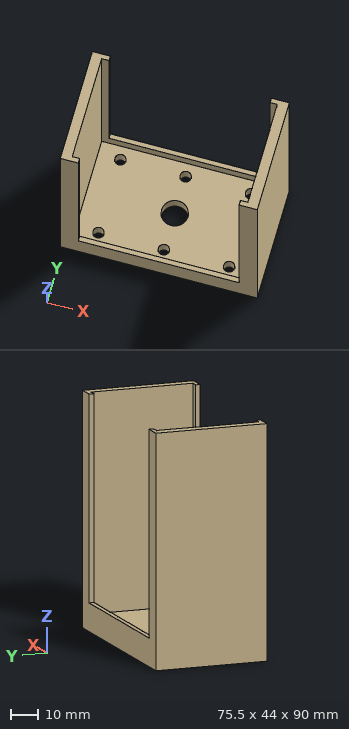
import cadquery as cq

length = 75.5
width = 44.0
height = 90.0

channel_length = 61.6
channel_floor = 11.0

recess_length = 67.2
recess_width = 40.2
recess_floor = 6.0

center_hole_diameter = 10.0
mount_hole_diameter = 4.1
mount_pitch_x = 25.0
mount_pitch_y = 30.0
mount_columns = 3
mount_rows = 2


def open_top_cut(size_x, size_y, floor):
    """Box that removes everything from the floor level up to the top."""
    return (
        cq.Workplane("XY")
        .workplane(offset=floor)
        .rect(size_x, size_y)
        .extrude(height - floor)
    )


body = cq.Workplane("XY").rect(length, width).extrude(height)
body = body.cut(open_top_cut(channel_length, width, channel_floor))
body = body.cut(open_top_cut(recess_length, recess_width, recess_floor))

center_hole = cq.Workplane("XY").circle(center_hole_diameter / 2).extrude(recess_floor)
mount_holes = (
    cq.Workplane("XY")
    .rarray(mount_pitch_x, mount_pitch_y, mount_columns, mount_rows)
    .circle(mount_hole_diameter / 2)
    .extrude(recess_floor)
)

result = body.cut(center_hole).cut(mount_holes)